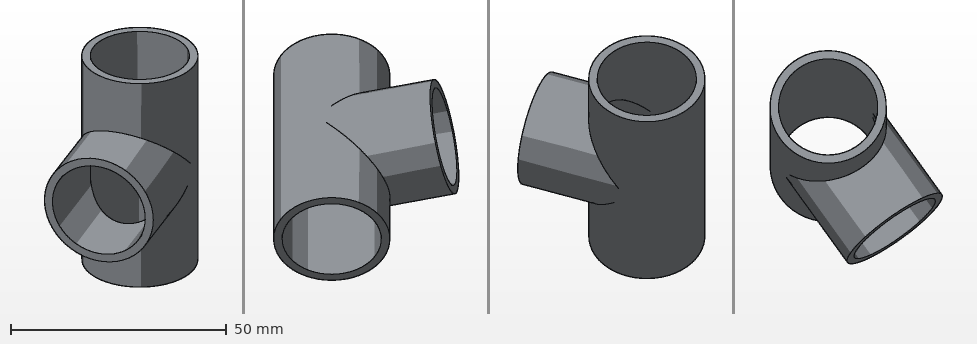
import cadquery as cq

run_length = 54.0
outer_diameter = 27.0
bore_diameter = 23.0
branch_reach = 27.0


def run_cylinder(diameter):
    """Cylinder along Z, centred on the origin."""
    return cq.Workplane("XY").circle(diameter / 2).extrude(run_length / 2, both=True)


def branch_cylinder(diameter):
    """Cylinder from the run axis out along -Y."""
    return cq.Workplane("XZ").circle(diameter / 2).extrude(branch_reach)


def tee(diameter):
    """Run and branch of the same diameter, joined."""
    return run_cylinder(diameter).union(branch_cylinder(diameter))


result = tee(outer_diameter).cut(tee(bore_diameter))